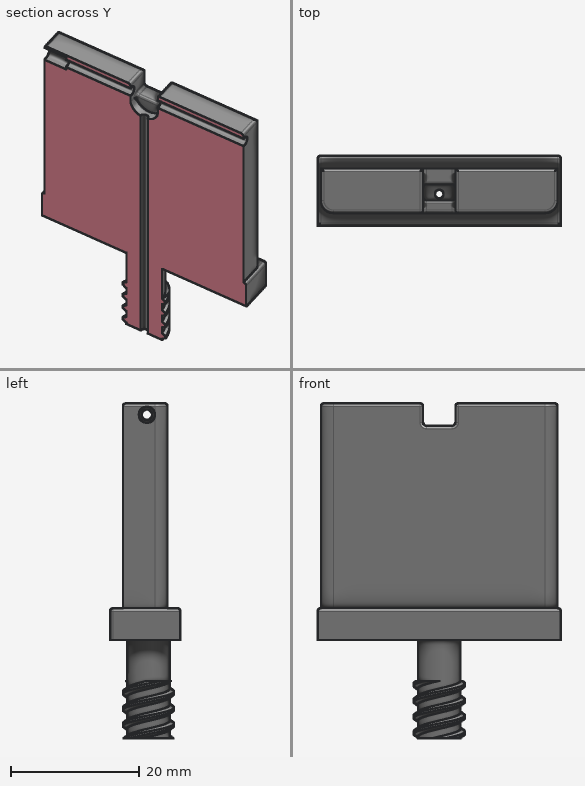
import cadquery as cq

PLATE_LENGTH = 38.0
PLATE_WIDTH = 11.0
PLATE_HEIGHT = 5.0
PLATE_EDGE_RADIUS = 0.5

BLOCK_MARGIN = 0.5
BLOCK_LENGTH = PLATE_LENGTH - 2 * BLOCK_MARGIN
BLOCK_WIDTH = 7.0
BLOCK_HEIGHT = 32.0
BLOCK_CORNER_RADIUS = 2.0
RIM_RADIUS = 0.5
TOP_Z = PLATE_HEIGHT + BLOCK_HEIGHT

NOTCH_WIDTH = 5.0
NOTCH_DEPTH = 3.5
NOTCH_FLOOR_RADIUS = 0.5
NOTCH_FLOOR_Z = TOP_Z - NOTCH_DEPTH

TROUGH_WIDTH = 2.53
TROUGH_DEPTH = 2.5
TROUGH_WALL_DEPTH = 0.42
TROUGH_EDGE_RADIUS = 0.4

CROSS_HOLE_DIAMETER = 1.6
CROSS_HOLE_Y = -0.25
CROSS_HOLE_DROP = 1.8
COUNTERBORE_DIAMETER = 2.53
COUNTERBORE_DEPTH = 4.0

STUD_DIAMETER = 6.7
STUD_LENGTH = 15.35
STUD_Y = -0.5
STUD_HOLE_DIAMETER = 1.3
STUD_END_Z = -STUD_LENGTH

THREAD_STARTS = 2
THREAD_DIAMETER = 8.0
THREAD_LEAD = 5.0
THREAD_LENGTH = 9.0
THREAD_ROOT_HEIGHT = 1.3
THREAD_CREST_HEIGHT = 0.4
THREAD_PHASE_HEIGHT = 0.9
THREAD_EMBED = 0.2

TOLERANCE = 0.01


def make_plate():
    """Plate with rounded rear corners and a rounded top rim."""
    plate = cq.Workplane("XY").box(PLATE_LENGTH, PLATE_WIDTH, PLATE_HEIGHT, centered=(True, True, False))
    plate = plate.edges("|Z and >Y").fillet(PLATE_EDGE_RADIUS)
    return plate.faces(">Z").edges().fillet(PLATE_EDGE_RADIUS)


def edge_zone(half_length, center_y, half_width, low_z, high_z):
    """Selector for edges lying wholly inside a box that is centred on X = 0."""
    x = half_length + TOLERANCE
    y = half_width + TOLERANCE
    low_corner = (-x, center_y - y, low_z - TOLERANCE)
    high_corner = (x, center_y + y, high_z + TOLERANCE)
    return cq.selectors.BoxSelector(low_corner, high_corner, boundingbox=True)


def make_blank():
    """Plain upright block with rounded front corners."""
    return (
        cq.Workplane("XY", origin=(0, 0, PLATE_HEIGHT))
        .box(BLOCK_LENGTH, BLOCK_WIDTH, BLOCK_HEIGHT, centered=(True, True, False))
        .edges("|Z and <Y")
        .fillet(BLOCK_CORNER_RADIUS)
    )


def make_notch():
    """Cutter for the notch, running through from front to back."""
    return cq.Workplane("XY", origin=(0, 0, NOTCH_FLOOR_Z)).box(
        NOTCH_WIDTH, BLOCK_WIDTH, NOTCH_DEPTH, centered=(True, True, False)
    )


def make_trough():
    """Round-bottomed cutter whose short side walls are flush with the notch walls."""
    half_notch = NOTCH_WIDTH / 2
    return (
        cq.Workplane("XZ", origin=(0, CROSS_HOLE_Y, NOTCH_FLOOR_Z))
        .moveTo(-half_notch, 0)
        .lineTo(-half_notch, -TROUGH_WALL_DEPTH)
        .threePointArc((0, -TROUGH_DEPTH), (half_notch, -TROUGH_WALL_DEPTH))
        .lineTo(half_notch, 0)
        .close()
        .extrude(TROUGH_WIDTH / 2, both=True)
    )


def make_cross_hole():
    """Cutter for the through hole along X and its counterbore at the -X end."""
    start = cq.Workplane("YZ", origin=(-BLOCK_LENGTH / 2, CROSS_HOLE_Y, TOP_Z - CROSS_HOLE_DROP))
    hole = start.circle(CROSS_HOLE_DIAMETER / 2).extrude(BLOCK_LENGTH)
    return hole.union(start.circle(COUNTERBORE_DIAMETER / 2).extrude(COUNTERBORE_DEPTH))


def make_block():
    """Block with its notch, trough and cross hole, and with all their edges rounded."""
    block = make_blank().cut(make_notch()).cut(make_trough())

    trough_zone = edge_zone(NOTCH_WIDTH / 2, CROSS_HOLE_Y, TROUGH_WIDTH / 2, NOTCH_FLOOR_Z, NOTCH_FLOOR_Z)
    block = block.edges(trough_zone).edges("|X").fillet(TROUGH_EDGE_RADIUS)

    floor_low_z = NOTCH_FLOOR_Z - TROUGH_EDGE_RADIUS
    floor_zone = edge_zone(NOTCH_WIDTH / 2, 0, BLOCK_WIDTH / 2, floor_low_z, NOTCH_FLOOR_Z)
    block = block.edges(floor_zone).edges("not |X").fillet(NOTCH_FLOOR_RADIUS)

    rim_zone = edge_zone(BLOCK_LENGTH / 2, 0, BLOCK_WIDTH / 2, NOTCH_FLOOR_Z, TOP_Z)
    block = block.faces(">Z or <Y").edges(rim_zone).fillet(RIM_RADIUS)
    return block.cut(make_cross_hole())


def make_thread_ridge():
    """One helical ridge of trapezoid section, reaching past both ends of the thread."""
    root_radius = STUD_DIAMETER / 2 - THREAD_EMBED
    crest_radius = THREAD_DIAMETER / 2
    crest_half = THREAD_CREST_HEIGHT / 2
    flank_slope = (THREAD_ROOT_HEIGHT - THREAD_CREST_HEIGHT) / (THREAD_DIAMETER - STUD_DIAMETER)
    root_half = THREAD_ROOT_HEIGHT / 2 + THREAD_EMBED * flank_slope
    path = cq.Wire.makeHelix(THREAD_LEAD, THREAD_LENGTH + 2 * THREAD_LEAD, root_radius)
    section = (
        cq.Workplane("XZ")
        .moveTo(root_radius, -root_half)
        .lineTo(crest_radius, -crest_half)
        .lineTo(crest_radius, crest_half)
        .lineTo(root_radius, root_half)
        .close()
    )
    ridge = section.sweep(path, isFrenet=True)
    return ridge.translate((0, 0, STUD_END_Z - THREAD_LEAD + THREAD_PHASE_HEIGHT))


def make_stud():
    """Stud with its thread cut off flat at both ends."""
    stud_end = cq.Workplane("XY", origin=(0, 0, STUD_END_Z))
    stud = stud_end.circle(STUD_DIAMETER / 2).extrude(STUD_LENGTH)
    thread_zone = stud_end.circle(THREAD_DIAMETER).extrude(THREAD_LENGTH)
    ridge = make_thread_ridge()
    for start in range(THREAD_STARTS):
        angle = start * 360 / THREAD_STARTS
        turned_ridge = ridge.rotate((0, 0, 0), (0, 0, 1), angle)
        stud = stud.union(turned_ridge.intersect(thread_zone))
    return stud.translate((0, STUD_Y, 0))


def make_stud_hole():
    """Cutter for the hole from the stud end up into the trough."""
    return (
        cq.Workplane("XY", origin=(0, STUD_Y, STUD_END_Z))
        .circle(STUD_HOLE_DIAMETER / 2)
        .extrude(NOTCH_FLOOR_Z - STUD_END_Z)
    )


result = make_plate().union(make_block()).union(make_stud()).cut(make_stud_hole())